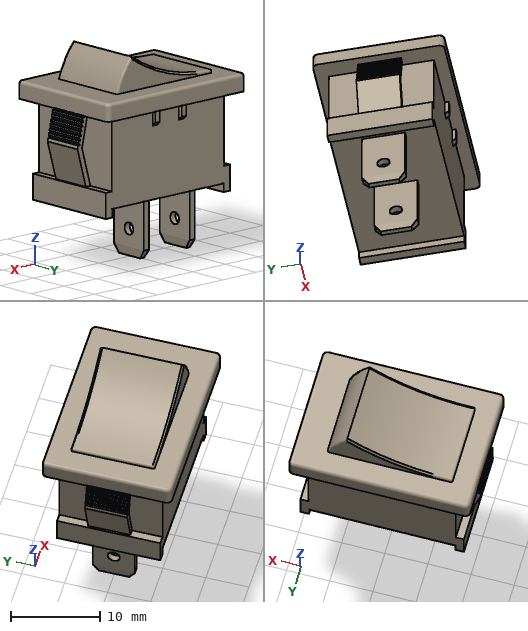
import cadquery as cq


bezel_length = 21.0
bezel_width = 15.0
bezel_height = 2.1
bezel_corner_radius = 0.6
bezel_edge_radius = 0.4

body_length = 17.1
body_width = 12.0
base_length = 18.98
base_top_z = -8.58
base_floor_z = -10.6
foot_bottom_z = -11.6
foot_thickness = 1.0

rib_spacing = 4.03
rib_thickness = 0.7
rib_depth = 0.42
rib_height = 2.06

clip_width = 4.92
clip_top_z = -0.05
clip_top_outer_x = 9.64
clip_knee_x = 10.52
clip_knee_z = -4.03
clip_bottom_outer_x = 9.25
clip_thickness = 0.7

notch_count = 7
notch_pitch = 0.52
notch_height = 0.3
notch_depth = 0.25
lowest_notch_floor_z = -3.61
notch_overcut = 0.25

terminal_positions = (-6.98, 0)
terminal_width = 4.92
terminal_thickness = 0.8
terminal_tip_width = 3.5
terminal_tip_thickness = 0.55
terminal_tip_height = 1.05
terminal_bottom_z = -18.53
terminal_hole_diameter = 1.4
terminal_hole_z = -15.36

rocker_width = 9.68
rocker_left_x = -7.82
rocker_left_z = 2.48
rocker_dish_x = -1.28
rocker_dish_z = 3.37
rocker_peak_x = 4.42
rocker_peak_z = 6.05
rocker_back_x = 5.97
rocker_back_z = 3.88
rocker_bottom_x = 6.95
rocker_bottom_z = bezel_height / 2
rocker_edge_radius = 0.25


def box(length, width, bottom_z, top_z):
    """Block centred on the Z axis that spans bottom_z to top_z."""
    return cq.Workplane("XY", origin=(0, 0, bottom_z)).rect(length, width).extrude(top_z - bottom_z)


def extrude_along_y(profile, width):
    """Extrude a closed XZ profile symmetrically about Y = 0."""
    return profile.extrude(width / 2, both=True)


def make_bezel():
    plate = box(bezel_length, bezel_width, 0, bezel_height)
    plate = plate.edges("|Z").fillet(bezel_corner_radius)
    return plate.faces(">Z").edges().fillet(bezel_edge_radius)


def make_body():
    body = box(body_length, body_width, base_top_z, 0)
    base = box(base_length, body_width, foot_bottom_z, base_top_z)
    gap_between_feet = box(base_length - 2 * foot_thickness, body_width, foot_bottom_z, base_floor_z)
    return body.union(base.cut(gap_between_feet))


def make_rib(x, side):
    """Rib on the side face toward side * Y, with a 45 degree lower end."""
    wall_y = side * body_width / 2
    outer_y = wall_y + side * rib_depth
    profile = [(0, 0), (outer_y, 0), (outer_y, rib_depth - rib_height), (wall_y, -rib_height), (0, -rib_height)]
    rib = cq.Workplane("YZ").polyline(profile).close().extrude(rib_thickness / 2, both=True)
    return rib.translate((x, 0, 0))


def make_clip():
    """Bent snap clip on the +X side, with grip notches above its knee."""
    outline = [
        (clip_top_outer_x, clip_top_z),
        (clip_knee_x, clip_knee_z),
        (clip_bottom_outer_x, base_top_z),
        (clip_bottom_outer_x - clip_thickness, base_top_z),
        (clip_knee_x - clip_thickness, clip_knee_z),
        (clip_top_outer_x - clip_thickness, clip_top_z),
    ]
    clip = extrude_along_y(cq.Workplane("XZ").polyline(outline).close(), clip_width)
    slope = (clip_knee_x - clip_top_outer_x) / (clip_top_z - clip_knee_z)
    for index in range(notch_count):
        floor_z = lowest_notch_floor_z + index * notch_pitch
        roof_z = floor_z + notch_height
        floor_x = clip_knee_x - slope * (floor_z - clip_knee_z)
        roof_x = clip_knee_x - slope * (roof_z - clip_knee_z)
        notch = [
            (floor_x - notch_depth, floor_z),
            (floor_x + notch_overcut, floor_z),
            (roof_x + notch_overcut, roof_z),
            (roof_x, roof_z),
        ]
        clip = clip.cut(extrude_along_y(cq.Workplane("XZ").polyline(notch).close(), clip_width))
    return clip


def make_terminal(x):
    """Flat blade with a tapered tip and a round cross hole."""
    tip_top_z = terminal_bottom_z + terminal_tip_height
    blade = box(terminal_thickness, terminal_width, tip_top_z, base_floor_z)
    tip = (
        cq.Workplane("XY", origin=(0, 0, tip_top_z))
        .rect(terminal_thickness, terminal_width)
        .workplane(offset=-terminal_tip_height)
        .rect(terminal_tip_thickness, terminal_tip_width)
        .loft(ruled=True)
    )
    hole = (
        cq.Workplane("YZ", origin=(0, 0, terminal_hole_z))
        .circle(terminal_hole_diameter / 2)
        .extrude(terminal_thickness, both=True)
    )
    return blade.union(tip).cut(hole).translate((x, 0, 0))


def make_rocker():
    """Rocker with a dished top and a rounded back, rounded along its exposed edges."""
    profile = (
        cq.Workplane("XZ")
        .moveTo(rocker_left_x, rocker_bottom_z)
        .lineTo(rocker_left_x, rocker_left_z)
        .threePointArc((rocker_dish_x, rocker_dish_z), (rocker_peak_x, rocker_peak_z))
        .threePointArc((rocker_back_x, rocker_back_z), (rocker_bottom_x, rocker_bottom_z))
        .close()
    )
    rocker = extrude_along_y(profile, rocker_width)
    left_top = cq.selectors.NearestToPointSelector((rocker_left_x, 0, rocker_left_z))
    rocker = rocker.edges(left_top).fillet(rocker_edge_radius)
    side_edges = rocker.faces("|Y").edges("not |X")
    return side_edges.fillet(rocker_edge_radius)


result = make_bezel().union(make_body()).union(make_rocker())

for rib_x in (-rib_spacing / 2, rib_spacing / 2):
    for rib_side in (-1, 1):
        result = result.union(make_rib(rib_x, rib_side))

right_clip = make_clip()
result = result.union(right_clip).union(right_clip.mirror("YZ"))

for terminal_x in terminal_positions:
    result = result.union(make_terminal(terminal_x))